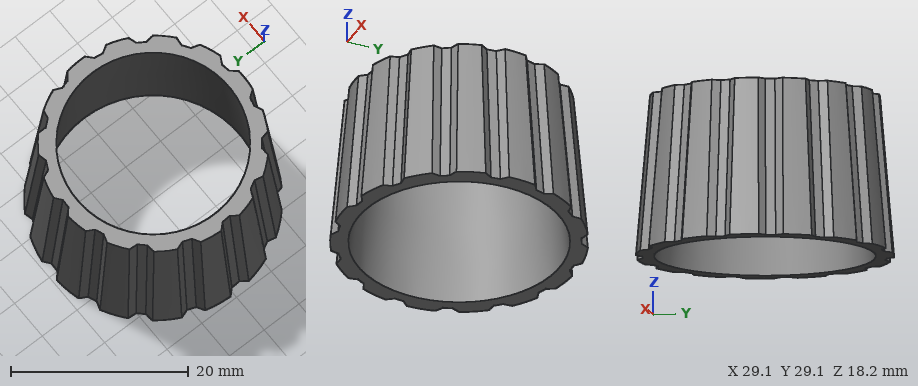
import cadquery as cq

height = 18.15
base_radius = 14.55
top_radius = 12.97
wall = 2.07

groove_count = 15
first_groove_angle = 87.7
groove_depth = 0.75
groove_mouth_width = 2.75
groove_floor_width = 1.1
overcut = 0.58


def cone(bottom, top):
    """Solid cone frustum of the full height, standing on Z = 0."""
    profile = [(0, 0), (bottom, 0), (top, height), (0, height)]
    return cq.Workplane("XZ").polyline(profile).close().revolve(360, (0, 0), (0, 1))


def groove_section(outer_radius):
    """Corners of the groove trapezoid, centred on the +X direction."""
    floor = outer_radius - groove_depth
    mouth = (outer_radius**2 - (groove_mouth_width / 2) ** 2) ** 0.5
    flank_slope = (groove_mouth_width - groove_floor_width) / 2 / (mouth - floor)
    outside = outer_radius + overcut
    half_floor = groove_floor_width / 2
    half_outside = half_floor + flank_slope * (outside - floor)
    return [(floor, -half_floor), (outside, -half_outside), (outside, half_outside), (floor, half_floor)]


def groove_cutter():
    """One groove, leaning inward with the taper from base to top."""
    return (
        cq.Workplane("XY")
        .polyline(groove_section(base_radius))
        .close()
        .workplane(offset=height)
        .polyline(groove_section(top_radius))
        .close()
        .loft(ruled=True)
    )


sleeve = cone(base_radius, top_radius).cut(cone(base_radius - wall, top_radius - wall))

cutter = groove_cutter()
for index in range(groove_count):
    angle = first_groove_angle + index * 360 / groove_count
    sleeve = sleeve.cut(cutter.rotate((0, 0, 0), (0, 0, 1), angle))

result = sleeve